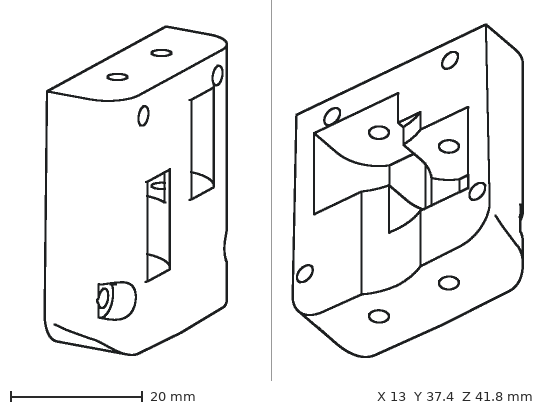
import cadquery as cq
import math

depth = 13.0
height = 41.75
top_half_width = 18.0
wide_half_width = 18.7
widest_height = 6.5
rear_radius = 5.42
corner_radius = 5.85
corner_rise = 0.55

bore_diameter = 3.0
axis_x = 5.8
axis_y = 6.65
pocket_radius = 7.95
pocket_height = 16.0
upper_pocket_floor = 20.45
lower_pocket_floor = 11.15

groove_half_width = 5.6
groove_depth = 1.38
groove_top = 30.6

screw_diameter = 3.0
upper_screw_y = 11.2
upper_screw_z = 38.0
lower_screw_y = 16.35
lower_screw_z = 9.6
head_diameter = 5.95
head_seat_x = 8.97


def make_plan():
    """Footprint with flared sides and rounded rear edges, as a tall prism."""
    arc_start_x = depth - rear_radius
    arc_end_y = top_half_width - rear_radius
    arc_mid_x = arc_start_x + rear_radius * math.sin(math.pi / 4)
    arc_mid_y = arc_end_y + rear_radius * math.cos(math.pi / 4)
    return (
        cq.Workplane("XY")
        .moveTo(0, -wide_half_width)
        .lineTo(arc_start_x, -top_half_width)
        .threePointArc((arc_mid_x, -arc_mid_y), (depth, -arc_end_y))
        .lineTo(depth, arc_end_y)
        .threePointArc((arc_mid_x, arc_mid_y), (arc_start_x, top_half_width))
        .lineTo(0, wide_half_width)
        .close()
        .extrude(height)
    )


def make_face_prism():
    """Tapered outline of the flat face, with rounded bottom corners."""
    side_slope = (wide_half_width - top_half_width) / (height - widest_height)
    corner_y = wide_half_width + side_slope * (widest_height - corner_rise)
    return (
        cq.Workplane("YZ")
        .moveTo(-top_half_width, height)
        .lineTo(-corner_y, corner_rise)
        .lineTo(0, 0)
        .lineTo(corner_y, corner_rise)
        .lineTo(top_half_width, height)
        .close()
        .extrude(depth)
        .edges("|X")
        .edges("<Y or >Y")
        .fillet(corner_radius)
    )


def make_pocket(center_y, floor_z):
    """Round-backed pocket, open through the flat face."""
    base = cq.Workplane("XY", origin=(0, center_y, floor_z))
    round_back = base.center(axis_x, 0).circle(pocket_radius).extrude(pocket_height)
    mouth = base.center(axis_x / 2, 0).rect(axis_x, 2 * pocket_radius).extrude(pocket_height)
    return round_back.union(mouth)


def make_groove():
    """Circular-segment groove rising from the bottom edge."""
    return (
        cq.Workplane("XY")
        .moveTo(0, -groove_half_width)
        .threePointArc((groove_depth, 0), (0, groove_half_width))
        .close()
        .extrude(groove_top)
    )


def make_cylinder_x(diameter, y, z, start_x):
    """Cylinder along X from start_x to the rear face."""
    return (
        cq.Workplane("YZ", origin=(start_x, y, z))
        .circle(diameter / 2)
        .extrude(depth - start_x)
    )


result = make_plan().intersect(make_face_prism())
result = result.cut(make_groove())

for side, floor_z in ((1, upper_pocket_floor), (-1, lower_pocket_floor)):
    result = result.cut(make_pocket(side * axis_y, floor_z))
    bore = cq.Workplane("XY").center(axis_x, side * axis_y).circle(bore_diameter / 2).extrude(height)
    result = result.cut(bore)

for side in (-1, 1):
    for y, z in ((upper_screw_y, upper_screw_z), (lower_screw_y, lower_screw_z)):
        result = result.cut(make_cylinder_x(screw_diameter, side * y, z, 0))
    result = result.cut(make_cylinder_x(head_diameter, side * lower_screw_y, lower_screw_z, head_seat_x))